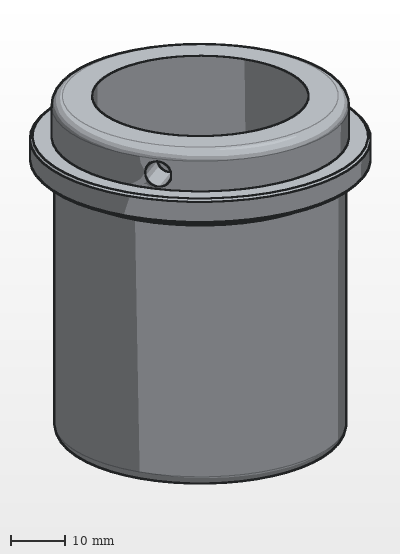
import cadquery as cq
import math

total_height = 67.0
bore_radius = 20.0
body_radius = 27.0
head_radius = 27.5
collar_radius = 31.5
head_height = 8.0
collar_height = 5.0
groove_height = 2.0
groove_depth = 0.7
edge_round = 2.0
collar_chamfer = 0.5

hole_diameter = 5.0
hole_drop = 5.0

collar_top = total_height - head_height
collar_bottom = collar_top - collar_height
body_top = collar_bottom - groove_height


def disc(radius, bottom, top):
    """Solid cylinder on the Z axis between two levels."""
    return cq.Workplane("XY").workplane(offset=bottom).circle(radius).extrude(top - bottom)


def make_body():
    """Long shank with a rounded lower edge."""
    return disc(body_radius, 0, body_top).faces("<Z").edges().fillet(edge_round)


def make_groove():
    """Relief neck flaring from its narrowest under the collar out to the shank along an arc.

    The arc is vertical at the collar, so its radius follows from the groove height and depth.
    """
    neck_radius = body_radius - groove_depth
    arc_radius = (groove_height**2 + groove_depth**2) / (2 * groove_depth)
    mid_drop = groove_height / 2
    mid_flare = arc_radius - math.sqrt(arc_radius**2 - mid_drop**2)
    return (
        cq.Workplane("XZ")
        .moveTo(0, body_top)
        .lineTo(body_radius, body_top)
        .threePointArc((neck_radius + mid_flare, collar_bottom - mid_drop), (neck_radius, collar_bottom))
        .lineTo(0, collar_bottom)
        .close()
        .revolve(360, (0, 0, 0), (0, 1, 0))
    )


def make_collar():
    """Locating flange with both rims chamfered."""
    return disc(collar_radius, collar_bottom, collar_top).edges("%CIRCLE").chamfer(collar_chamfer)


def make_head():
    """Short head above the collar with a rounded upper edge."""
    return disc(head_radius, collar_top, total_height).faces(">Z").edges().fillet(edge_round)


def make_pin_hole():
    """Cutter from outside the head on the -Y side to the bore axis."""
    axis_level = total_height - hole_drop
    return (
        cq.Workplane("XZ")
        .center(0, axis_level)
        .circle(hole_diameter / 2)
        .extrude(collar_radius)
    )


outside = make_body().union(make_groove()).union(make_collar()).union(make_head())
bore = disc(bore_radius, 0, total_height)
result = outside.cut(bore).cut(make_pin_hole())